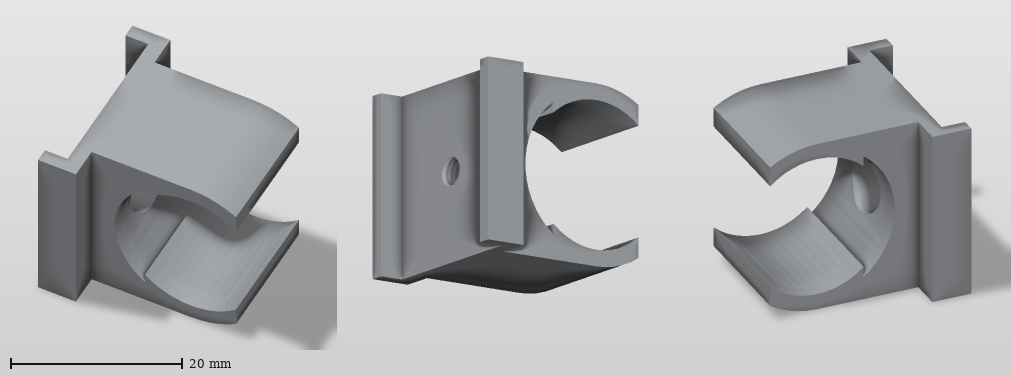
import cadquery as cq
import math

overall_length = 24.0
plate_width = 24.0
height = 22.0
lip_depth = 3.0
lip_width = 1.75
plate_thickness = 2.0
plate_front = lip_depth + plate_thickness

clip_width = 16.0
bore_x = 18.0
bore_radius = 9.0
relief_radius = 10.0
relief_end_x = 12.0
outer_radius = height / 2

counterbore_radius = 8.0 / 2
thread_minor_radius = 3.34 / 2
thread_major_radius = 2.0
thread_pitch = 0.7
thread_flank_angle = 30.0
thread_root_flat = thread_pitch / 8
thread_overlap = 0.07


def box(x_start, x_end, width, tall, y_centre=0.0):
    """Block between two X positions, centred on Z = 0."""
    block = cq.Workplane("XY").box(x_end - x_start, width, tall, centered=(False, True, True))
    return block.translate((x_start, y_centre, 0))


def cylinder_y(radius):
    """Cylinder along Y on the clip axis, as long as the plate is wide."""
    return cq.Workplane("XZ").center(bore_x, 0).circle(radius).extrude(plate_width / 2, both=True)


def make_plate():
    plate = box(0, plate_front, plate_width, height)
    return plate.cut(box(0, lip_depth, plate_width - 2 * lip_width, height))


def make_clip():
    """Block with a rounded free end, a bore and a larger relief at the back of the bore."""
    straight = box(lip_depth, bore_x, clip_width, height)
    rounded = cylinder_y(outer_radius).intersect(box(bore_x, overall_length, clip_width, height))
    return straight.union(rounded)


def make_bore():
    relief = cylinder_y(relief_radius).intersect(box(0, relief_end_x, plate_width, height))
    return cylinder_y(bore_radius).union(relief)


def make_threaded_hole():
    """Minor bore plus a right-hand helical groove, starting at the +Y side of the mouth."""
    turns = math.ceil(plate_thickness / thread_pitch) + 2
    length = turns * thread_pitch
    inner_radius = thread_minor_radius - thread_overlap
    root_half = thread_root_flat / 2
    flank_rise = (thread_major_radius - inner_radius) * math.tan(math.radians(thread_flank_angle))
    mouth_half = root_half + flank_rise

    helix = cq.Workplane(cq.Wire.makeHelix(thread_pitch, length, thread_minor_radius))
    groove = (
        cq.Workplane("XZ")
        .moveTo(inner_radius, -mouth_half)
        .lineTo(thread_major_radius, -root_half)
        .lineTo(thread_major_radius, root_half)
        .lineTo(inner_radius, mouth_half)
        .close()
        .sweep(helix, isFrenet=True)
    )
    bore = cq.Workplane("XY").circle(thread_minor_radius).extrude(length)

    def place(cutter):
        along_x = cutter.rotate((0, 0, 0), (0, 1, 0), 90).rotate((0, 0, 0), (1, 0, 0), 90)
        return along_x.translate((lip_depth - thread_pitch, 0, 0))

    return place(bore), place(groove)


def make_counterbore():
    start_plane = cq.Workplane("YZ", origin=(plate_front, 0, 0))
    return start_plane.circle(counterbore_radius).extrude(bore_x - plate_front)


thread_bore, thread_groove = make_threaded_hole()
body = make_plate().union(make_clip()).cut(make_bore())
result = body.cut(thread_bore).cut(thread_groove).cut(make_counterbore())